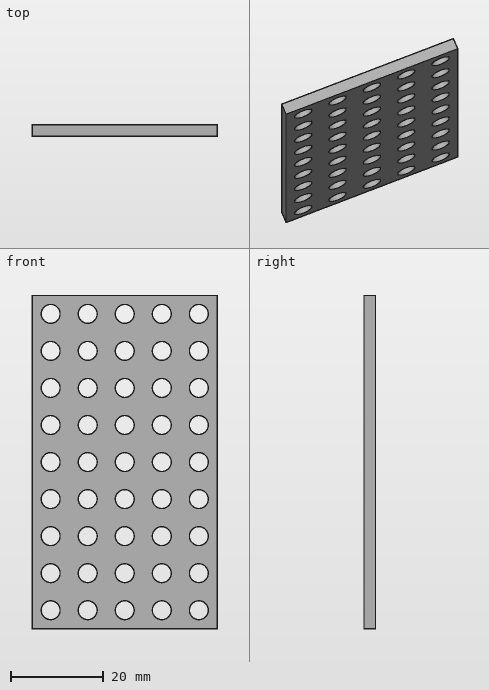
import cadquery as cq

height = 72.0
columns = 5
rows = 9
pitch = height / rows
width = columns * pitch
thickness = 2.5
hole_diameter = 4.0

plate = cq.Workplane("XY").box(width, thickness, height)

result = (
    plate.faces("<Y")
    .workplane(centerOption="CenterOfBoundBox")
    .rarray(pitch, pitch, columns, rows)
    .hole(hole_diameter)
)